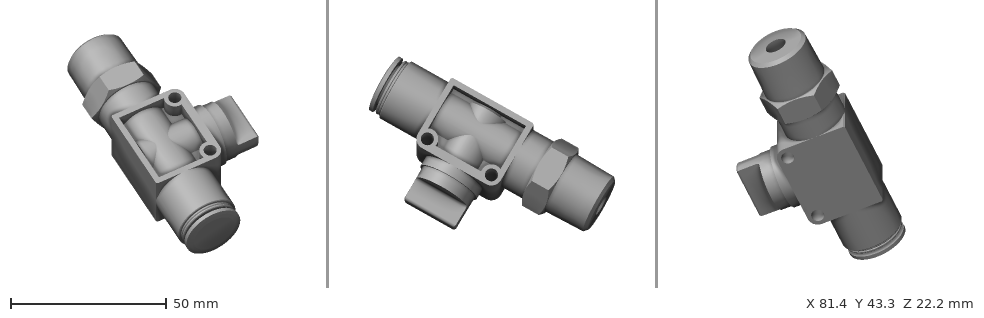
import cadquery as cq
import math

length = 81.4
pipe_dia = 21.0
pipe_radius = pipe_dia / 2
pipe_end = 76.7
pipe_end_chamfer = 0.25

thread_tip_dia = 17.9
thread_start_dia = 20.3
thread_chamfer_length = 1.05
bore_dia = 7.0

hex_start = 15.0
hex_width = 8.1
hex_flats = 22.2
hex_corners = hex_flats / math.cos(math.radians(30))
hex_chamfer_angle = 30

body_start = 31.0
body_length = 30.85
body_end = body_start + body_length
body_center = body_start + body_length / 2
body_height = pipe_dia
body_front = -pipe_radius
body_back = 14.6
body_edge_chamfer = 0.5
lug_dia = 7.0
lug_hole_dia = 4.2
lug_offset = body_length / 2 - lug_dia / 2
lug_y = body_back - lug_dia / 2

wall = 1.95
back_wall = 2.85
pocket_floor = 5.2
pocket_front = body_front + wall
pocket_back = body_back - back_wall
inner_pipe_dia = 17.6
ball_housing_dia = 16.85
ball_housing_front = -7.5
end_cap_dia = 13.7

collar_dia = 21.0
collar_end = 18.0
knob_base_dia = 19.6
knob_tip_dia = 19.4
knob_face = 22.3
knob_tip = 30.45
handle_thickness = 5.1
handle_fillet = 1.0

ring_dia = 19.5
ring_width = 0.9
ring_count = 2
ring_chamfer = 0.25
neck_dia = 14.8
flange_start = 79.5
flange_dia = 19.8
flange_edge = 80.8
flange_shoulder = 81.15
flange_shoulder_dia = 17.6


def cylinder_x(diameter, start, end):
    return cq.Workplane("YZ", origin=(start, 0, 0)).circle(diameter / 2).extrude(end - start)


def cylinder_y(diameter, start, end):
    plane = cq.Workplane("XZ", origin=(body_center, start, 0))
    return plane.circle(diameter / 2).extrude(start - end)


def revolve_about_x(stations):
    """Solid of revolution about X from (x, diameter) stations."""
    profile = [(x, diameter / 2) for x, diameter in stations]
    first_x = stations[0][0]
    last_x = stations[-1][0]
    outline = cq.Workplane("XY").polyline([(first_x, 0)] + profile + [(last_x, 0)]).close()
    return outline.revolve(360, (0, 0, 0), (1, 0, 0))


def ring_stations():
    """Stations of the chamfered rings, which meet in a V groove."""
    edge_dia = ring_dia - 2 * ring_chamfer
    stations = [(pipe_end, edge_dia)]
    for index in range(ring_count):
        start = pipe_end + index * ring_width
        end = start + ring_width
        stations.append((start + ring_chamfer, ring_dia))
        stations.append((end - ring_chamfer, ring_dia))
        stations.append((end, edge_dia))
    return stations


def make_pipe():
    """Tapered thread, plain pipe and collet, all turned about the X axis."""
    ring_end = pipe_end + ring_count * ring_width
    thread_and_pipe = [
        (0, thread_tip_dia),
        (thread_chamfer_length, thread_start_dia),
        (hex_start, pipe_dia),
        (pipe_end - pipe_end_chamfer, pipe_dia),
        (pipe_end, pipe_dia - 2 * pipe_end_chamfer),
    ]
    neck_and_flange = [
        (ring_end, neck_dia),
        (flange_start, neck_dia),
        (flange_start, flange_dia),
        (flange_edge, flange_dia),
        (flange_shoulder, flange_shoulder_dia),
        (length, neck_dia),
    ]
    return revolve_about_x(thread_and_pipe + ring_stations() + neck_and_flange)


def make_hexagon():
    """Hexagon with corners toward +Y and -Y, its corners turned off at both faces."""
    prism = cq.Workplane("YZ", origin=(hex_start, 0, 0)).polygon(6, hex_corners).extrude(hex_width)
    hex_end = hex_start + hex_width
    corner_depth = (hex_corners - hex_flats) / 2 * math.tan(math.radians(hex_chamfer_angle))
    envelope = revolve_about_x([
        (hex_start, hex_flats),
        (hex_start + corner_depth, hex_corners),
        (hex_end - corner_depth, hex_corners),
        (hex_end, hex_flats),
    ])
    return prism.intersect(envelope)


def make_body():
    """Square body with two round lug corners at the back."""
    depth = body_back - body_front
    middle_y = (body_back + body_front) / 2
    block = cq.Workplane("XY", origin=(body_center, middle_y, 0)).box(body_length, depth, body_height)
    block = block.edges("|Z and >Y").fillet(lug_dia / 2)
    return block.edges("|Z and <Y").chamfer(body_edge_chamfer)


def make_pocket():
    """Space to remove from the top of the body, leaving the lugs and housings."""
    middle_y = (pocket_back + pocket_front) / 2
    pocket = (
        cq.Workplane("XY", origin=(body_center, middle_y, pocket_floor))
        .rect(body_length - 2 * wall, pocket_back - pocket_front)
        .extrude(body_height / 2 - pocket_floor)
    )
    pocket = pocket.cut(lug_cylinders(lug_dia))
    pocket = pocket.cut(cylinder_x(inner_pipe_dia, body_start, body_end))
    pocket = pocket.cut(cylinder_y(ball_housing_dia, ball_housing_front, body_back))
    return pocket.cut(cylinder_y(end_cap_dia, body_front, ball_housing_front))


def lug_cylinders(diameter):
    return (
        cq.Workplane("XY", origin=(body_center, lug_y, -body_height / 2))
        .pushPoints([(-lug_offset, 0), (lug_offset, 0)])
        .circle(diameter / 2)
        .extrude(body_height)
    )


def make_knob():
    """Slightly tapered round knob, cut away on both sides to leave a flat handle."""
    knob = (
        cq.Workplane("XZ", origin=(body_center, collar_end, 0))
        .circle(knob_base_dia / 2)
        .workplane(offset=collar_end - knob_tip)
        .circle(knob_tip_dia / 2)
        .loft()
    )
    handle_length = knob_tip - knob_face
    for side in (-1, 1):
        side_cut = cq.Workplane("XY").box(
            knob_base_dia, handle_length, knob_base_dia, centered=(True, False, True)
        )
        inner_edge = "<Z" if side > 0 else ">Z"
        side_cut = side_cut.edges("|X and <Y").edges(inner_edge).fillet(handle_fillet)
        side_z = side * (handle_thickness + knob_base_dia) / 2
        knob = knob.cut(side_cut.translate((body_center, knob_face, side_z)))
    return knob.faces(">Y").edges().fillet(handle_fillet)


result = make_pipe().union(make_hexagon()).union(make_body())
result = result.cut(make_pocket()).cut(lug_cylinders(lug_hole_dia))
result = result.union(cylinder_y(collar_dia, body_back, collar_end)).union(make_knob())
result = result.cut(cylinder_x(bore_dia, 0, body_start))